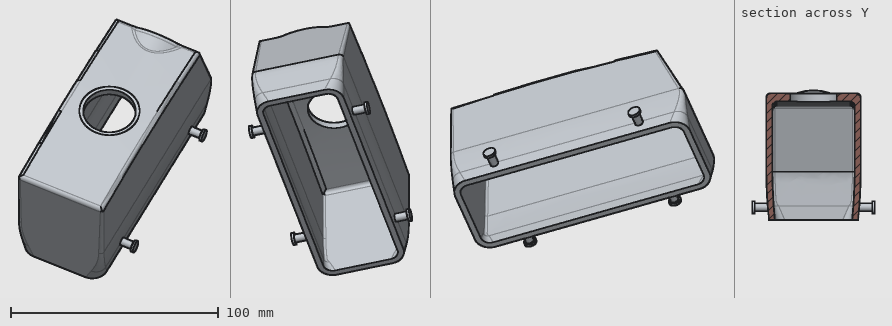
import cadquery as cq
import math

half_width = 22.75
half_length = 60.0
pin_span = 59.0
overall_height = 62.52

taper_top = 7.0
blend_top = 23.4
side_taper = math.radians(4.5)

front_draft = math.radians(0.7)
rear_slope = math.radians(20.3)
rear_bend_bottom = 18.9

upright_steps = 4
bend_steps = 3

rim_corner = 7.7
taper_corner = 5.2
blend_corner = 2.0
roof_corner = 1.1

roof_peak = 61.2
crown_radius = 600.0
hole_y = -6.0
roof_edge_round = 2.1
roof_zone_bottom = 50.0
loft_top = overall_height + 1.0

wall = 3.0
roof_thickness = 4.0

hole_diameter = 25.3
seat_diameter = 29.0
seat_depth = 0.3

boss_radius = 22.5
boss_root_round = 2.0
boss_length = 12.0

pin_y = 37.0
pin_z = 6.2
shaft_diameter = 4.0
head_diameter = 6.0
head_thickness = 1.3


def side_x(z):
    """Half-width of the hood at height z."""
    blend_radius = (blend_top - taper_top) / math.sin(side_taper)
    if z >= blend_top:
        return half_width
    if z >= taper_top:
        return half_width - blend_radius + math.sqrt(blend_radius**2 - (blend_top - z)**2)
    return side_x(taper_top) - (taper_top - z) * math.tan(side_taper)


def front_y(z):
    """Y of the drafted front wall at height z."""
    return -half_length + z * math.tan(front_draft)


def rear_y(z):
    """Y of the rear wall at height z: upright, arc, then slope."""
    bend_radius = (blend_top - rear_bend_bottom) / math.sin(rear_slope)
    if z <= rear_bend_bottom:
        return half_length
    if z <= blend_top:
        return half_length - bend_radius + math.sqrt(bend_radius**2 - (z - rear_bend_bottom)**2)
    return rear_y(blend_top) - (z - blend_top) * math.tan(rear_slope)


def corner_radius(z):
    """Radius of the vertical corners at height z."""
    if z <= taper_top:
        return rim_corner + (taper_corner - rim_corner) * z / taper_top
    if z <= blend_top:
        rest = (blend_top - z) / (blend_top - taper_top)
        return blend_corner + (taper_corner - blend_corner) * rest**2
    rise = (z - blend_top) / (loft_top - blend_top)
    return blend_corner + (roof_corner - blend_corner) * rise


def section(z, inset):
    """Rounded rectangle through the hood at height z, moved inward by inset."""
    width = 2 * (side_x(z) - inset)
    length = rear_y(z) - front_y(z) - 2 * inset
    radius = max(corner_radius(z) - inset, roof_corner)
    middle_y = (rear_y(z) + front_y(z)) / 2
    outline = cq.Sketch().rect(width, length).vertices().fillet(radius)
    return outline.moved(cq.Location(cq.Vector(0, middle_y, z)))


def loft_between(levels, inset, ruled):
    """Solid lofted through the hood sections at the given heights."""
    sections = [section(z, inset) for z in levels]
    return cq.Workplane().placeSketch(*sections).loft(ruled=ruled)


def spaced_levels(bottom, top, steps):
    """Evenly spaced heights from bottom to top, both included."""
    return [bottom + (top - bottom) * i / steps for i in range(steps + 1)]


def crowned_block(inset, drop):
    """Sharp-edged block above the blend, under the crowned roof."""
    walls = [
        (front_y(blend_top) + inset, blend_top),
        (front_y(loft_top) + inset, loft_top),
        (rear_y(loft_top) - inset, loft_top),
        (rear_y(blend_top) - inset, blend_top),
    ]
    block = cq.Workplane("YZ").polyline(walls).close().extrude(half_width - inset, both=True)
    crown = (
        cq.Workplane("YZ")
        .center(hole_y, roof_peak - crown_radius)
        .circle(crown_radius - drop)
        .extrude(half_width, both=True)
    )
    return block.intersect(crown)


def edges_in_roof_zone(x_limit, z_limit):
    """Selector for edges wholly above the roof zone bottom and within the limits."""
    low = (-x_limit, -2 * half_length, roof_zone_bottom)
    high = (x_limit, 2 * half_length, z_limit)
    return cq.selectors.BoxSelector(low, high, boundingbox=True)


def add_thumb_boss(block):
    """Half disc flush with the rear slope, standing proud of the roof, with a rounded root."""
    rounding_drop = roof_edge_round * (math.cos(rear_slope) + math.sin(rear_slope) - 1)
    top_z = overall_height + rounding_drop
    center_y = rear_y(top_z) + boss_radius * math.sin(rear_slope)
    center_z = top_z - boss_radius * math.cos(rear_slope)
    inward = (0, -math.cos(rear_slope), -math.sin(rear_slope))
    slope_plane = cq.Plane((0, center_y, center_z), xDir=(1, 0, 0), normal=inward)
    disc = (
        cq.Workplane(slope_plane)
        .moveTo(-boss_radius, 0)
        .threePointArc((0, boss_radius), (boss_radius, 0))
        .close()
        .extrude(boss_length)
    )
    root_edge = edges_in_roof_zone(boss_radius, roof_peak)
    return block.union(disc).edges(root_edge).fillet(boss_root_round)


def round_roof_edges(block):
    """Round the upper edges of all four walls, including the boss rim."""
    wall_tops = edges_in_roof_zone(2 * half_width, 2 * overall_height)
    return block.faces("<X or >X or <Y or >Y").edges(wall_tops).fillet(roof_edge_round)


def hood_solid(inset, roof_block):
    """Closed hood with its walls moved inward by inset, under the given roof block."""
    upright_levels = spaced_levels(taper_top, rear_bend_bottom, upright_steps)
    bend_levels = spaced_levels(rear_bend_bottom, blend_top, bend_steps)
    rim = loft_between([0, taper_top], inset, ruled=True)
    blend = loft_between(upright_levels + bend_levels[1:], inset, ruled=False)
    upper = loft_between([blend_top, loft_top], inset, ruled=True)
    return rim.union(blend).union(upper.intersect(roof_block))


def cut_cable_hole(body):
    """Round hole through the roof with a shallow flat seat around it."""
    roof = cq.Workplane("XY", origin=(0, hole_y, roof_peak))
    seat = roof.circle(seat_diameter / 2).extrude(-seat_depth)
    hole = roof.circle(hole_diameter / 2).extrude(-2 * roof_thickness)
    return body.cut(seat).cut(hole)


def locking_pin(side, y):
    """Headed pin standing out of a long side; side is +1 or -1 along X."""
    root_x = half_width - wall / 2
    shaft_length = pin_span / 2 - head_thickness - root_x
    root = cq.Workplane("YZ", origin=(side * root_x, y, pin_z))
    shaft = root.circle(shaft_diameter / 2).extrude(side * shaft_length)
    head = (
        cq.Workplane("YZ", origin=(side * pin_span / 2, y, pin_z))
        .circle(head_diameter / 2)
        .extrude(-side * head_thickness)
    )
    return shaft.union(head)


outer_block = round_roof_edges(add_thumb_boss(crowned_block(0, 0)))
inner_block = round_roof_edges(crowned_block(wall, roof_thickness))
result = hood_solid(0, outer_block).cut(hood_solid(wall, inner_block))
result = cut_cable_hole(result)
for side in (-1, 1):
    for y in (-pin_y, pin_y):
        result = result.union(locking_pin(side, y))